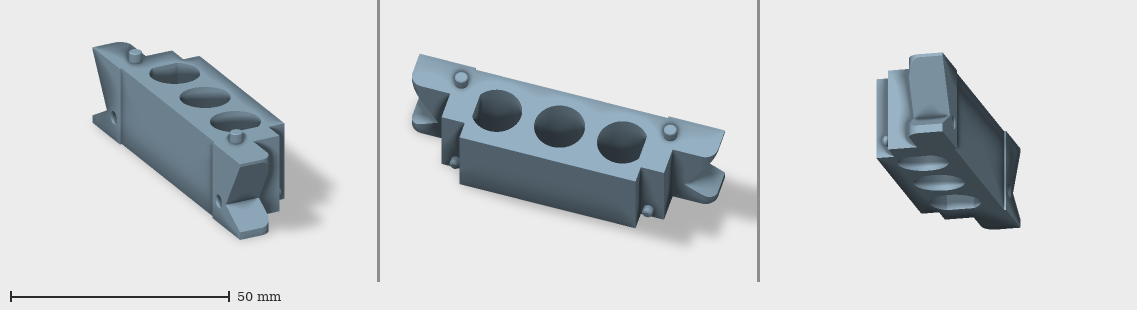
import cadquery as cq
import math

length = 73.0
depth = 19.5
height = 19.0

rear_half_width = 21.0
shoulder_half_width = 26.6
shoulder_depth = 15.3
ear_depth = 8.55
ear_corner_radius = 3.0

relief_half_width = 23.0
relief_depth = 0.5

bore_diameter = 11.7
bore_spacing = 15.05
bore_y = 10.0
bore_flat_x = 19.9

notch_depth = 7.1
notch_apex_z = 6.0
notch_upper_angle = 60.0
notch_lower_angle = notch_upper_angle - 90.0

top_pin_diameter = 3.0
top_pin_length = 2.55
top_pin_chamfer = 0.2
top_pin_x = 25.0
top_pin_y = 5.05

rear_pin_diameter = 2.5
rear_pin_length = 2.0
rear_pin_chamfer = 0.4
rear_pin_x = 23.0
rear_pin_z = 3.2

front_hole_diameter = 2.5
front_hole_mouth_diameter = 3.2
front_hole_mouth_depth = 0.5
front_hole_depth = 2.55
front_hole_x = 26.0
front_hole_z = 5.5

SIDES = (-1, 1)


def stepped_block():
    """Extrude the stepped plan and round the outer rear corners of the ears."""
    half_length = length / 2
    right_half = [
        (half_length, 0),
        (half_length, ear_depth),
        (shoulder_half_width, ear_depth),
        (shoulder_half_width, shoulder_depth),
        (rear_half_width, shoulder_depth),
        (rear_half_width, depth),
    ]
    left_half = [(-x, y) for x, y in reversed(right_half)]
    block = cq.Workplane("XY").polyline(right_half + left_half).close().extrude(height)
    ear_corners = [(side * half_length, ear_depth, height / 2) for side in SIDES]
    for corner in ear_corners:
        block = block.edges(cq.selectors.NearestToPointSelector(corner)).fillet(ear_corner_radius)
    return block


def front_relief():
    """Full-height slab removed from the middle of the front face."""
    return cq.Workplane("XY").box(
        2 * relief_half_width, 2 * relief_depth, height, centered=(True, True, False)
    )


def bores():
    """Row of three bores, limited in X by the flats on the outer two."""
    centres = [(i * bore_spacing, bore_y) for i in (-1, 0, 1)]
    cylinders = cq.Workplane("XY").pushPoints(centres).circle(bore_diameter / 2).extrude(height)
    between_flats = cq.Workplane("XY").box(
        2 * bore_flat_x, 2 * depth, height, centered=(True, True, False)
    )
    return cylinders.intersect(between_flats)


def end_notch(side):
    """V notch through the full depth of one end; side is -1 or +1 along X."""
    end_x = side * length / 2
    apex_x = end_x - side * notch_depth
    upper_z = notch_apex_z + notch_depth * math.tan(math.radians(notch_upper_angle))
    lower_z = notch_apex_z + notch_depth * math.tan(math.radians(notch_lower_angle))
    return (
        cq.Workplane("XZ")
        .polyline([(end_x, upper_z), (apex_x, notch_apex_z), (end_x, lower_z)])
        .close()
        .extrude(-depth)
    )


def top_pin(side):
    """Chamfered pin standing on the top face."""
    return (
        cq.Workplane("XY", origin=(side * top_pin_x, top_pin_y, height))
        .circle(top_pin_diameter / 2)
        .extrude(top_pin_length)
        .faces(">Z")
        .chamfer(top_pin_chamfer)
    )


def rear_pin(side):
    """Chamfered pin standing on a rear shoulder, pointing along +Y."""
    return (
        cq.Workplane("XZ", origin=(side * rear_pin_x, shoulder_depth, rear_pin_z))
        .circle(rear_pin_diameter / 2)
        .extrude(-rear_pin_length)
        .faces(">Y")
        .chamfer(rear_pin_chamfer)
    )


def front_hole(side):
    """Blind hole running along +Y with a conical lead-in at its mouth."""
    centre = cq.Workplane("XZ", origin=(side * front_hole_x, 0, front_hole_z))
    mouth = (
        centre.circle(front_hole_mouth_diameter / 2)
        .workplane(offset=-front_hole_mouth_depth)
        .circle(front_hole_diameter / 2)
        .loft()
    )
    return centre.circle(front_hole_diameter / 2).extrude(-front_hole_depth).union(mouth)


result = stepped_block().cut(front_relief()).cut(bores())
for side in SIDES:
    result = result.cut(end_notch(side)).cut(front_hole(side))
    result = result.union(top_pin(side)).union(rear_pin(side))